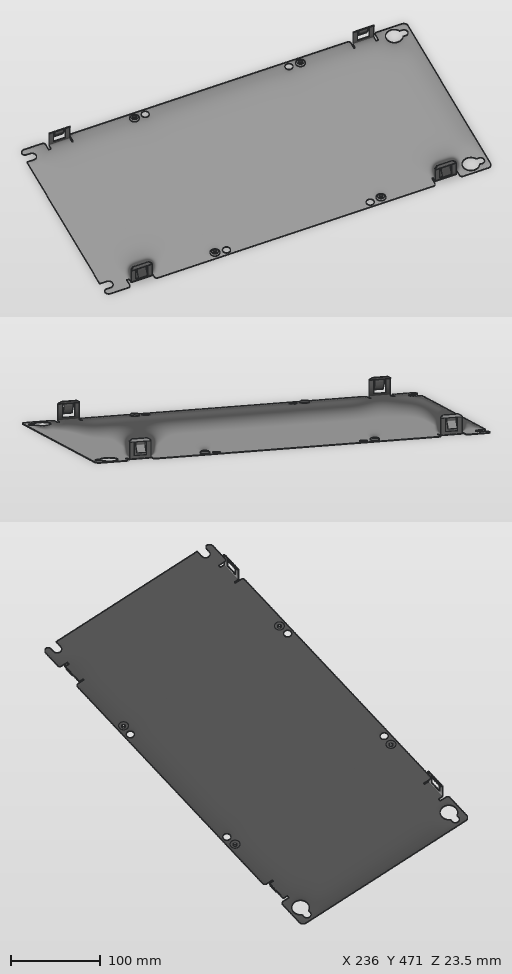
import cadquery as cq
import math

plate_width = 236.0
plate_length = 471.0
plate_thickness = 1.0
corner_radius = 5.0
half_width = plate_width / 2
half_length = plate_length / 2

mount_inset_x = 13.3
mount_inset_y = 8.5
keyhole_neck_width = 9.0
open_slot_width = 10.2
finger_radius = 4.0
keyhole_diameter = 19.5
keyhole_inset_y = 20.3

boss_inset_x = 8.0
boss_base_diameter = 11.0
boss_rim_height = 0.8
boss_top_diameter = 7.8
boss_height = 2.2
boss_bore_diameter = 4.5
hole_inset_x = 7.0
hole_diameter = 9.0
boss_rows_y = (half_length - 132.4, -(half_length - 136.0))
hole_to_boss = 13.6

overall_height = 23.46
clip_width = 25.5
clip_thickness = 1.0
clip_inset_x = 5.0
bend_radius = 0.8
clip_rows_y = (half_length - 54.5, -(half_length - 45.5))
notch_outer_gap = 3.0
notch_inner_gap = 1.5
notch_depth = 11.3
notch_corner_radius = 3.0
clip_outer_x = -half_width + clip_inset_x
clip_inner_x = clip_outer_x + clip_thickness
clip_foot_x = -half_width + notch_depth

lip_base_z = 20.2
lip_run = 2.5
lip_bevel_length = 4.0
lip_bevel_drop = 2.4

window_width = 14.5
window_bottom_z = 4.6
window_top_z = 19.0
tongue_width = 11.0
tongue_bend_z = 16.0
tongue_bend_radius = 2.5
tongue_tip_z = 8.3
tongue_tip_inset_x = 1.3


def both_sides(left_half):
    """Return the shape together with its mirror image across the YZ plane."""
    return left_half.union(left_half.mirror("YZ"))


def cylinder(x, y, diameter, bottom, height):
    """Upright cylinder centred at x, y and starting at the given Z."""
    return cq.Workplane("XY", origin=(x, y, bottom)).circle(diameter / 2).extrude(height)


def block(x_range, y_range, z_range):
    """Box filling the given low and high limits along each axis."""
    size = [high - low for low, high in (x_range, y_range, z_range)]
    corner = (x_range[0], y_range[0], z_range[0])
    return cq.Workplane("XY", origin=corner).box(*size, centered=False)


def make_blank():
    """Flat plate with rounded outer corners."""
    blank = cq.Workplane("XY").box(plate_width, plate_length, plate_thickness, centered=(True, True, False))
    return blank.edges("|Z").fillet(corner_radius)


def make_notch(clip_y):
    """Left-hand edge notch around a clip, with its two mouth corners rounded outward."""
    outward = math.copysign(1, clip_y)
    outer_y = clip_y + outward * (clip_width / 2 + notch_outer_gap)
    inner_y = clip_y - outward * (clip_width / 2 + notch_inner_gap)
    low_y, high_y = sorted((outer_y, inner_y))
    edge_x = -half_width
    return (
        cq.Workplane("XY")
        .moveTo(edge_x, low_y - notch_corner_radius)
        .radiusArc((edge_x + notch_corner_radius, low_y), notch_corner_radius)
        .lineTo(edge_x + notch_depth, low_y)
        .lineTo(edge_x + notch_depth, high_y)
        .lineTo(edge_x + notch_corner_radius, high_y)
        .radiusArc((edge_x, high_y + notch_corner_radius), notch_corner_radius)
        .close()
        .extrude(plate_thickness)
    )


def make_keyhole():
    """Left-hand keyhole: a large round opening with a narrow round-ended neck."""
    x = -half_width + mount_inset_x
    neck_y = half_length - mount_inset_y
    large_y = half_length - keyhole_inset_y
    half_neck = keyhole_neck_width / 2
    large = cylinder(x, large_y, keyhole_diameter, 0, plate_thickness)
    neck_end = cylinder(x, neck_y, keyhole_neck_width, 0, plate_thickness)
    neck = block((x - half_neck, x + half_neck), (large_y, neck_y), (0, plate_thickness))
    return large.union(neck).union(neck_end)


def make_open_slot():
    """Left-hand slot open to the -Y edge, its outer mouth corner rounded."""
    x = -half_width + mount_inset_x
    half_slot = open_slot_width / 2
    end_y = -half_length + mount_inset_y
    return (
        cq.Workplane("XY")
        .moveTo(x - half_slot - finger_radius, -half_length)
        .radiusArc((x - half_slot, -half_length + finger_radius), -finger_radius)
        .lineTo(x - half_slot, end_y)
        .threePointArc((x, end_y + half_slot), (x + half_slot, end_y))
        .lineTo(x + half_slot, -half_length)
        .close()
        .extrude(plate_thickness)
    )


def make_boss(x, y):
    """Boss standing on the plate: a short cylindrical rim, then a cone."""
    rim = cylinder(x, y, boss_base_diameter, plate_thickness, boss_rim_height)
    cone = (
        cq.Workplane("XY", origin=(x, y, plate_thickness + boss_rim_height))
        .circle(boss_base_diameter / 2)
        .workplane(offset=boss_height - boss_rim_height)
        .circle(boss_top_diameter / 2)
        .loft()
    )
    return rim.union(cone)


def make_clip_sheet(clip_y):
    """Left-hand clip sheet: foot bend, upright wall and lip leaning inward."""
    outer_bend = bend_radius + clip_thickness
    lean = math.atan2(lip_run, overall_height - lip_base_z)
    inner_lip_base_z = lip_base_z - clip_thickness * math.tan(lean / 2)
    tip_x = clip_outer_x + lip_run
    return (
        cq.Workplane("XZ", origin=(0, clip_y + clip_width / 2, 0))
        .moveTo(clip_foot_x, 0)
        .lineTo(clip_outer_x + outer_bend, 0)
        .radiusArc((clip_outer_x, outer_bend), outer_bend)
        .lineTo(clip_outer_x, lip_base_z)
        .lineTo(tip_x, overall_height)
        .lineTo(tip_x + clip_thickness * math.cos(lean), overall_height - clip_thickness * math.sin(lean))
        .lineTo(clip_inner_x, inner_lip_base_z)
        .lineTo(clip_inner_x, outer_bend)
        .radiusArc((clip_inner_x + bend_radius, clip_thickness), -bend_radius)
        .lineTo(clip_foot_x, plate_thickness)
        .close()
        .extrude(clip_width)
    )


def make_lip_bevel(clip_y, side):
    """Wedge that bevels one top corner of a left-hand lip; side is +1 or -1 along Y."""
    edge_y = clip_y + side * clip_width / 2
    return (
        cq.Workplane("YZ", origin=(-half_width, 0, 0))
        .moveTo(edge_y, overall_height)
        .lineTo(edge_y - side * lip_bevel_length, overall_height)
        .lineTo(edge_y, overall_height - lip_bevel_drop)
        .close()
        .extrude(half_width)
    )


def make_tongue(clip_y):
    """Left-hand tongue hanging from the window's top edge, bent outward."""
    tip_x = -half_width + tongue_tip_inset_x
    lean = math.atan2(clip_outer_x - tip_x, tongue_bend_z - tongue_tip_z)
    inner_bend_z = tongue_bend_z - clip_thickness * math.tan(lean / 2)
    tongue = (
        cq.Workplane("XZ", origin=(0, clip_y + tongue_width / 2, 0))
        .moveTo(clip_outer_x, window_top_z)
        .lineTo(clip_outer_x, tongue_bend_z)
        .lineTo(tip_x, tongue_tip_z)
        .lineTo(tip_x + clip_thickness * math.cos(lean), tongue_tip_z - clip_thickness * math.sin(lean))
        .lineTo(clip_inner_x, inner_bend_z)
        .lineTo(clip_inner_x, window_top_z)
        .close()
        .extrude(tongue_width)
    )
    outer_bend_edge = cq.selectors.NearestToPointSelector((clip_outer_x, clip_y, tongue_bend_z))
    inner_bend_edge = cq.selectors.NearestToPointSelector((clip_inner_x, clip_y, inner_bend_z))
    tongue = tongue.edges(outer_bend_edge).fillet(tongue_bend_radius)
    return tongue.edges(inner_bend_edge).fillet(tongue_bend_radius + clip_thickness)


def make_clip(clip_y):
    """Left-hand spring clip: windowed sheet with a bevelled lip and a hanging tongue."""
    sheet = make_clip_sheet(clip_y)
    for side in (-1, 1):
        sheet = sheet.cut(make_lip_bevel(clip_y, side))
    window = block(
        (clip_outer_x, clip_inner_x),
        (clip_y - window_width / 2, clip_y + window_width / 2),
        (window_bottom_z, window_top_z),
    )
    return sheet.cut(window).union(make_tongue(clip_y))


def make_plate():
    """Plate with every cutout, its bosses and its clips."""
    plate = make_blank()
    plate = plate.cut(both_sides(make_keyhole()))
    plate = plate.cut(both_sides(make_open_slot()))

    boss_x = -half_width + boss_inset_x
    hole_x = -half_width + hole_inset_x
    for boss_y in boss_rows_y:
        hole_y = boss_y - math.copysign(hole_to_boss, boss_y)
        boss = make_boss(boss_x, boss_y)
        bore = cylinder(boss_x, boss_y, boss_bore_diameter, 0, plate_thickness + boss_height)
        hole = cylinder(hole_x, hole_y, hole_diameter, 0, plate_thickness)
        plate = plate.union(both_sides(boss))
        plate = plate.cut(both_sides(bore.union(hole)))

    for clip_y in clip_rows_y:
        plate = plate.cut(both_sides(make_notch(clip_y)))
        plate = plate.union(both_sides(make_clip(clip_y)))
    return plate


result = make_plate()